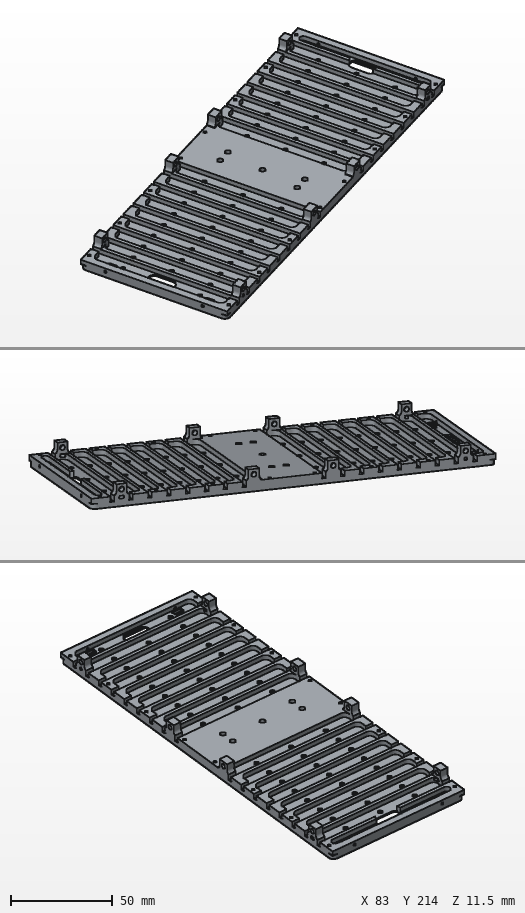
import cadquery as cq
import math

length = 214.0
width = 83.0
total_height = 11.5
base_height = 5.5
floor_height = 2.8
foot_height = 2.8
foot_radius = 3.0
floor_thickness = 0.9

rib = 2.0
centre_length = 34.0
groove_width = 2.0
end_margin = 2 * rib
end_slot_width = 2 * groove_width
upper_rows = 8
lower_rows = 9
row_span = length - 2 * end_margin - end_slot_width - centre_length
pitch = (row_span + rib) / (upper_rows + lower_rows)
pocket_length = pitch - rib
pocket_margin = 4.5
pocket_width = width - 2 * pocket_margin
pocket_radius = 3.0
hollow_length = length - 2 * end_margin
hollow_height = floor_height - floor_thickness

upper_start = length / 2 - end_margin - end_slot_width
lower_start = upper_start - upper_rows * pitch - centre_length
upper_walls = [upper_start - rib - i * pitch for i in range(upper_rows)]
lower_walls = [lower_start - i * pitch for i in range(lower_rows)]
end_slot_y = length / 2 - end_margin - end_slot_width / 2

column_x = 21.8
row_hole_diameter = 2.4
row_hole_offset = 4.5
edge_hole_diameter = 1.5
edge_hole_inset = 2.0
edge_hole_first = 12.0
edge_hole_pitch = 30.0
edge_holes_per_half = 4
centre_hole_diameter = 3.0
centre_hole_y = 3.9

handle_length = 15.0
handle_width = 6.5
handle_y = 99.0
nut_slot_length = 5.5
nut_slot_width = 3.6
nut_slot_radius = 1.0
nut_slot_x = 27.5
end_hole_diameter = 1.4
end_hole_height = 3.5

outer_post_length = 5.4
inner_post_length = 5.8
post_flare_radius = 2.5
post_hole_diameter = 2.5
post_hole_height = 8.8
lower_hole_diameter = 1.5
lower_hole_height = 4.7
lower_slot_length = 2.5
block_length = pitch - groove_width


def block_centre(wall_y):
    """Middle of the block left between the groove at wall_y and the next one."""
    return wall_y - groove_width - block_length / 2


def drill(part, points, diameter):
    """Drill vertical holes through the base."""
    return part.cut(cq.Workplane("XY").pushPoints(points).circle(diameter / 2).extrude(base_height))


def base_plate():
    """Square-cornered slab on a foot with rounded vertical corners."""
    foot = cq.Workplane("XY").box(width, length, foot_height, centered=(True, True, False))
    foot = foot.edges("|Z").fillet(foot_radius)
    slab = cq.Workplane("XY").workplane(offset=foot_height)
    slab = slab.rect(width, length).extrude(base_height - foot_height)
    return foot.union(slab)


def row_cutter(wall_y):
    """Full-width groove joined to a pocket with two rounded corners."""
    floor = cq.Workplane("XY").workplane(offset=floor_height)
    groove = floor.center(0, wall_y - groove_width / 2).rect(width, groove_width)
    groove = groove.extrude(base_height - floor_height)
    pocket = floor.center(0, wall_y - pocket_length / 2).rect(pocket_width, pocket_length)
    pocket = pocket.extrude(base_height - floor_height)
    pocket = pocket.edges("|Z and <Y").fillet(pocket_radius)
    return groove.union(pocket)


def side_plane(y, z):
    """Plane on the -X side with its origin at the given Y and Z."""
    return cq.Workplane("YZ", origin=(-width / 2, y, z))


def post_pair(y, post_length):
    """Posts on both long sides, with concave flares that stop at the block edges."""
    half_post = post_length / 2
    half_block = block_length / 2
    arc_y = half_post + post_flare_radius
    arc_z = base_height + post_flare_radius
    end_angle = math.acos((arc_y - half_block) / post_flare_radius)
    edge_z = arc_z - post_flare_radius * math.sin(end_angle)
    middle_y = arc_y - post_flare_radius * math.cos(end_angle / 2)
    middle_z = arc_z - post_flare_radius * math.sin(end_angle / 2)
    left = (
        side_plane(y, 0)
        .moveTo(-half_block, floor_height)
        .lineTo(half_block, floor_height)
        .lineTo(half_block, edge_z)
        .threePointArc((middle_y, middle_z), (half_post, arc_z))
        .lineTo(half_post, total_height)
        .lineTo(-half_post, total_height)
        .lineTo(-half_post, arc_z)
        .threePointArc((-middle_y, middle_z), (-half_block, edge_z))
        .close()
        .extrude(pocket_margin)
    )
    return left.union(left.mirror("YZ"))


body = base_plate()

hollow = cq.Workplane("XY").rect(pocket_width, hollow_length).extrude(hollow_height)
body = body.cut(hollow)

for wall_y in upper_walls + lower_walls:
    body = body.cut(row_cutter(wall_y))
end_slot = cq.Workplane("XY", origin=(0, end_slot_y, floor_height))
body = body.cut(end_slot.slot2D(pocket_width, end_slot_width).extrude(base_height - floor_height))

outer_upper_y = block_centre(upper_walls[0])
outer_lower_y = block_centre(lower_walls[-2])
inner_upper_y = block_centre(upper_walls[-1])
inner_lower_y = block_centre(lower_walls[0])
posts = [
    (outer_upper_y, outer_post_length),
    (inner_upper_y, inner_post_length),
    (inner_lower_y, inner_post_length),
    (outer_lower_y, outer_post_length),
]
for y, post_length in posts:
    body = body.union(post_pair(y, post_length))
    body = body.cut(side_plane(y, post_hole_height).circle(post_hole_diameter / 2).extrude(width))
lower_slot = side_plane(outer_upper_y, lower_hole_height).slot2D(lower_slot_length, lower_hole_diameter)
body = body.cut(lower_slot.extrude(width))
lower_hole = side_plane(outer_lower_y, lower_hole_height).circle(lower_hole_diameter / 2)
body = body.cut(lower_hole.extrude(width))

row_points = [
    (x, wall_y - row_hole_offset)
    for wall_y in upper_walls + lower_walls
    for x in (-column_x, 0, column_x)
    if x != 0 or wall_y != lower_walls[-1]
]
body = drill(body, row_points, row_hole_diameter)

edge_x = width / 2 - edge_hole_inset
edge_points = [
    (side * edge_x, end * (edge_hole_first + i * edge_hole_pitch))
    for side in (-1, 1)
    for end in (-1, 1)
    for i in range(edge_holes_per_half)
]
body = drill(body, edge_points, edge_hole_diameter)

centre_points = [(0, 0)] + [(sx * column_x, sy * centre_hole_y) for sx in (-1, 1) for sy in (-1, 1)]
body = drill(body, centre_points, centre_hole_diameter)

handle_points = [(0, -handle_y), (0, handle_y)]
handles = cq.Workplane("XY").pushPoints(handle_points).slot2D(handle_length, handle_width)
body = body.cut(handles.extrude(base_height))
nut_points = [(sx * nut_slot_x, sy * end_slot_y) for sx in (-1, 1) for sy in (-1, 1)]
nut_slots = cq.Workplane("XY").pushPoints(nut_points).rect(nut_slot_length, nut_slot_width)
nut_slots = nut_slots.extrude(base_height)
body = body.cut(nut_slots.edges("|Z").fillet(nut_slot_radius))
for end_y, direction in ((-length / 2, -1), (length / 2, 1)):
    face = cq.Workplane("XZ", origin=(0, end_y, end_hole_height))
    holes = face.pushPoints([(-nut_slot_x, 0), (nut_slot_x, 0)]).circle(end_hole_diameter / 2)
    body = body.cut(holes.extrude(direction * (length / 2 - end_slot_y)))

result = body